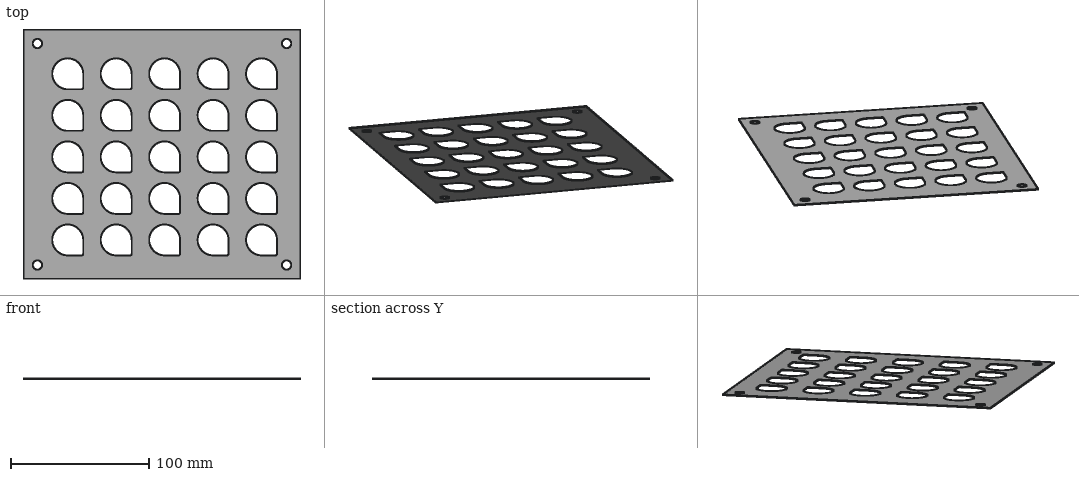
import cadquery as cq
import math

plate_length = 200.0
plate_width = 180.0
plate_thickness = 0.75

mount_hole_diameter = 6.5
mount_hole_inset = 10.0

columns = 5
rows = 5
column_pitch = 35.0
row_pitch = 30.0
grid_offset = 1.9

opening_diameter = 22.2
corner_radius = 1.0


def make_plate():
    return cq.Workplane("XY").box(plate_length, plate_width, plate_thickness)


def make_mount_holes():
    spacing_x = plate_length - 2 * mount_hole_inset
    spacing_y = plate_width - 2 * mount_hole_inset
    return (
        cq.Workplane("XY")
        .rarray(spacing_x, spacing_y, 2, 2)
        .circle(mount_hole_diameter / 2)
        .extrude(plate_thickness, both=True)
    )


def teardrop_outline():
    """Circle whose +X, -Y quadrant is squared off to a rounded corner."""
    radius = opening_diameter / 2
    flat_end = radius - corner_radius
    diagonal = radius * math.sqrt(0.5)
    return (
        cq.Workplane("XY")
        .moveTo(radius, 0)
        .threePointArc((-diagonal, diagonal), (0, -radius))
        .lineTo(flat_end, -radius)
        .radiusArc((radius, -flat_end), -corner_radius)
        .close()
        .val()
    )


def make_teardrop_openings():
    outline = teardrop_outline()
    return (
        cq.Workplane("XY")
        .center(grid_offset, -grid_offset)
        .rarray(column_pitch, row_pitch, columns, rows)
        .eachpoint(lambda place: outline.moved(place))
        .extrude(plate_thickness, both=True)
    )


result = make_plate().cut(make_mount_holes()).cut(make_teardrop_openings())